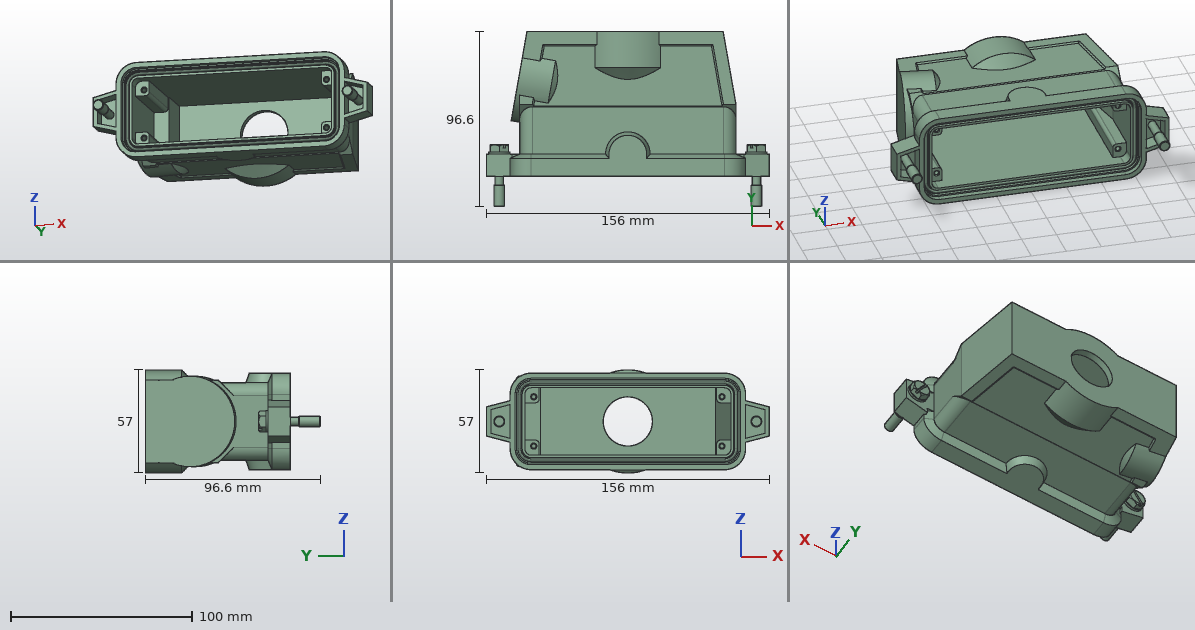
import cadquery as cq
import math


HOOD_TOP = 80.0
DRAFT = 10.0
SLOPE = math.tan(math.radians(DRAFT))

BODY_X = 59.7
BODY_Z = 21.45
BODY_RADIUS = 7.0

HOOD_Z = 22.8
HOOD_LEFT = -55.7
HOOD_RIGHT = 52.6
HOOD_SHOULDER_Y = HOOD_TOP - (BODY_X - HOOD_RIGHT) / SLOPE
HOOD_CORNER_Y = HOOD_TOP - (BODY_X + HOOD_LEFT) / SLOPE
HOOD_BOTTOM_Y = 31.2
HOOD_BOTTOM_Z = HOOD_Z - (HOOD_SHOULDER_Y - HOOD_BOTTOM_Y)

PANEL_Z = 22.0
PANEL_TOP = 71.9
PANEL_TOP_X = 46.1
PANEL_WALL_ANGLE = 50.0

BACK_BOSS_RADIUS = 28.5
BACK_BOSS_END = 60.0
ENTRY_DIAMETER = 27.0

SIDE_BOSS_RADIUS = 25.0
SIDE_BOSS_LENGTH = 18.4
SIDE_BOSS_Y = 55.3

FLANGE_X = 65.0
FLANGE_Z = 26.7
FLANGE_RADIUS = 11.7
FLANGE_EDGE_Y = 10.0
FLANGE_TOP = 12.3

PAD_RADIUS = 10.4
PAD_BASE_RADIUS = 12.3

RIM_WALL = 2.85
RIM_DEPTH = 3.5
GROOVE_OUTER = 3.65
GROOVE_INNER = 6.75
GROOVE_DEPTH = 2.0
BEAD_OUTER = 4.45
BEAD_INNER = 6.1
BEAD_HEIGHT = 1.7
BEAD_ROUND = 0.49 * (BEAD_INNER - BEAD_OUTER)

CAVITY_X = 56.8
CAVITY_Z = 18.6
CAVITY_RADIUS = 3.6
CAVITY_FLOOR_Y = 76.0
CAVITY_FLOOR_X = 48.3
CAVITY_BEND_Y = HOOD_SHOULDER_Y
CAVITY_SHELF_Y = HOOD_CORNER_Y - (HOOD_TOP - CAVITY_FLOOR_Y)

POST_FACE_Y = 11.5
POST_X = 49.0
POST_Z = 10.3
POST_RADIUS = 2.0
POST_HOLE_X = 51.9
POST_HOLE_Z = 13.6
POST_HOLE_DIAMETER = 2.4
POST_HOLE_CHAMFER = 0.5
POST_HOLE_DEPTH = 12.0

EAR_X = 78.0
EAR_TIP_Z = 8.1
EAR_ROOT_Z = 11.5
EAR_WALL_X = 2.4
EAR_WALL_Z = 2.2
EAR_PLATE = 3.0

SCREW_X = 70.9
SHANK_RADIUS = 2.4
SHANK_END_Y = -4.6
THREAD_RADIUS = 3.0
THREAD_END_Y = -16.6
THREAD_CHAMFER = 0.4
WASHER_RADIUS = 5.95
WASHER_HEIGHT = 1.2
HEAD_TOP = 17.6
HEAD_FLATS = 10.2
HEAD_CORNERS = HEAD_FLATS / math.cos(math.radians(30))
HEAD_CHAMFER = 1.0
DRIVE_WIDTH = 1.3
DRIVE_DEPTH = 2.0
DRIVE_ANGLE = 57.0

OVERLAP = 1.0


def facing_back(y):
    """Workplane at height y, extruding toward +Y; local axes are +X and -Z."""
    return cq.Workplane(cq.Plane(origin=(0, y, 0), xDir=(1, 0, 0), normal=(0, 1, 0)))


def rounded_block(half_x, half_z, radius, y_start, y_end):
    block = facing_back(y_start).rect(2 * half_x, 2 * half_z).extrude(y_end - y_start)
    return block.edges("|Y").fillet(radius)


def inset_block(offset, y_start, y_end):
    """Flange outline shrunk by offset, corners staying concentric."""
    return rounded_block(FLANGE_X - offset, FLANGE_Z - offset, FLANGE_RADIUS - offset, y_start, y_end)


def both_broad_sides(shape):
    return shape.union(shape.mirror("XY"))


def both_ends(shape):
    return shape.union(shape.mirror("YZ"))


def make_hood():
    side_outline = [
        (HOOD_LEFT, HOOD_TOP),
        (HOOD_RIGHT, HOOD_TOP),
        (BODY_X, HOOD_SHOULDER_Y),
        (BODY_X, HOOD_BOTTOM_Y),
        (-BODY_X, HOOD_BOTTOM_Y),
        (-BODY_X, HOOD_CORNER_Y),
    ]
    end_outline = [
        (HOOD_TOP, -HOOD_Z),
        (HOOD_TOP, HOOD_Z),
        (HOOD_SHOULDER_Y, HOOD_Z),
        (HOOD_BOTTOM_Y, HOOD_BOTTOM_Z),
        (HOOD_BOTTOM_Y, -HOOD_BOTTOM_Z),
        (HOOD_SHOULDER_Y, -HOOD_Z),
    ]
    hood = cq.Workplane("XY").polyline(side_outline).close().extrude(HOOD_Z, both=True)
    end_limit = cq.Workplane("YZ").polyline(end_outline).close().extrude(2 * BODY_X, both=True)
    return hood.intersect(end_limit).cut(make_panels())


def make_panels():
    bottom_x = PANEL_TOP_X + (PANEL_TOP - HOOD_BOTTOM_Y) * SLOPE
    floor = [
        (-PANEL_TOP_X, PANEL_TOP),
        (PANEL_TOP_X, PANEL_TOP),
        (bottom_x, HOOD_BOTTOM_Y),
        (-bottom_x, HOOD_BOTTOM_Y),
    ]
    panel = cq.Workplane("XY", origin=(0, 0, PANEL_Z)).polyline(floor).close()
    return both_broad_sides(panel.extrude(HOOD_Z - PANEL_Z, taper=-PANEL_WALL_ANGLE))


def make_boss(radius, length):
    """Cylinder along +Y from the origin, ending in a 45 degree cone."""
    profile = [(0, 0), (radius, 0), (radius, length), (0, length + radius)]
    return cq.Workplane("XY").polyline(profile).close().revolve(360, (0, 0, 0), (0, 1, 0))


def make_back_boss():
    boss = make_boss(BACK_BOSS_RADIUS, HOOD_TOP - BACK_BOSS_END)
    return boss.rotate((0, 0, 0), (0, 0, 1), 180).translate((0, HOOD_TOP, 0))


def make_side_boss():
    face_x = HOOD_LEFT - (HOOD_TOP - SIDE_BOSS_Y) * SLOPE
    boss = make_boss(SIDE_BOSS_RADIUS, SIDE_BOSS_LENGTH)
    return boss.rotate((0, 0, 0), (0, 0, 1), -90 - DRAFT).translate((face_x, SIDE_BOSS_Y, 0))


def make_flange():
    edge = inset_block(0, 0, FLANGE_EDGE_Y)
    rise = FLANGE_TOP - FLANGE_EDGE_Y
    slope_angle = math.degrees(math.atan2(FLANGE_X - BODY_X, rise))
    slope = edge.faces(">Y").wires().toPending().workplane().extrude(rise, taper=slope_angle, combine=False)
    return edge.union(slope)


def make_pads():
    cone = (
        cq.Workplane("XY", origin=(0, FLANGE_TOP, BODY_Z)).circle(PAD_BASE_RADIUS)
        .workplane(offset=FLANGE_Z - BODY_Z).circle(PAD_RADIUS).loft()
    )
    thickness = FLANGE_Z - BODY_Z
    limit_size = 2 * PAD_BASE_RADIUS
    limit = cq.Workplane("XY").box(limit_size, limit_size, thickness, centered=(True, False, False))
    foot = cq.Workplane("XY").box(2 * PAD_RADIUS, FLANGE_TOP, thickness, centered=(True, False, False))
    pad = cone.intersect(limit.translate((0, FLANGE_EDGE_Y, BODY_Z)))
    return both_broad_sides(pad.union(foot.translate((0, 0, BODY_Z))))


def make_ears():
    inner_x = FLANGE_X - OVERLAP
    flare = (EAR_ROOT_Z - EAR_TIP_Z) / (EAR_X - FLANGE_X)
    inner_z = EAR_ROOT_Z + flare * OVERLAP
    ear_outline = [(inner_x, inner_z), (EAR_X, EAR_TIP_Z), (EAR_X, -EAR_TIP_Z), (inner_x, -inner_z)]
    ear = facing_back(0).polyline(ear_outline).close().extrude(FLANGE_TOP)

    neck_x = EAR_X - BODY_X
    neck = cq.Workplane("XY").box(neck_x, FLANGE_TOP - FLANGE_EDGE_Y, 2 * EAR_TIP_Z, centered=False)
    neck = neck.translate((BODY_X, FLANGE_EDGE_Y, -EAR_TIP_Z))

    pocket_x = EAR_X - EAR_WALL_X
    tip_z = EAR_TIP_Z + flare * EAR_WALL_X - EAR_WALL_Z
    root_z = EAR_ROOT_Z - EAR_WALL_Z
    pocket_outline = [(FLANGE_X, root_z), (pocket_x, tip_z), (pocket_x, -tip_z), (FLANGE_X, -root_z)]
    pocket = facing_back(0).polyline(pocket_outline).close().extrude(FLANGE_TOP - EAR_PLATE)
    return both_ends(ear.union(neck).cut(pocket))


def make_screws():
    shank = facing_back(SHANK_END_Y).circle(SHANK_RADIUS).extrude(FLANGE_TOP - SHANK_END_Y)
    thread = facing_back(THREAD_END_Y).circle(THREAD_RADIUS).extrude(SHANK_END_Y - THREAD_END_Y)
    thread = thread.edges().chamfer(THREAD_CHAMFER)
    washer = facing_back(FLANGE_TOP).circle(WASHER_RADIUS).extrude(WASHER_HEIGHT)

    head_height = HEAD_TOP - FLANGE_TOP
    head = facing_back(FLANGE_TOP).polygon(6, HEAD_CORNERS).extrude(head_height)
    head = head.rotate((0, 0, 0), (0, 1, 0), 30)
    crown = facing_back(FLANGE_TOP).circle(WASHER_RADIUS).extrude(head_height)
    head = head.intersect(crown.faces(">Y").edges().chamfer(HEAD_CHAMFER))
    drive_slot = cq.Workplane("XY").box(2 * HEAD_CORNERS, 2 * DRIVE_DEPTH, DRIVE_WIDTH)
    drive_slot = drive_slot.rotate((0, 0, 0), (0, 1, 0), DRIVE_ANGLE).translate((0, HEAD_TOP, 0))

    screw = shank.union(thread).union(washer).union(head.cut(drive_slot))
    return both_ends(screw.translate((SCREW_X, 0, 0)))


def make_cavity():
    outline = [
        (-CAVITY_X, 0),
        (CAVITY_X, 0),
        (CAVITY_X, CAVITY_BEND_Y),
        (CAVITY_FLOOR_X, CAVITY_FLOOR_Y),
        (-CAVITY_FLOOR_X, CAVITY_FLOOR_Y),
        (-CAVITY_FLOOR_X, CAVITY_SHELF_Y),
        (-CAVITY_X, CAVITY_SHELF_Y),
    ]
    cavity = cq.Workplane("XY").polyline(outline).close().extrude(CAVITY_Z, both=True)
    mouth = rounded_block(CAVITY_X, CAVITY_Z, CAVITY_RADIUS, 0, CAVITY_FLOOR_Y)
    return cavity.intersect(mouth).cut(make_posts())


def make_posts():
    size_x = CAVITY_X - POST_X + OVERLAP
    size_z = CAVITY_Z - POST_Z + OVERLAP
    post = cq.Workplane("XY").box(size_x, CAVITY_FLOOR_Y - POST_FACE_Y, size_z, centered=False)
    post = post.edges("|Y and <X and <Z").fillet(POST_RADIUS).translate((POST_X, POST_FACE_Y, POST_Z))
    hole_radius = POST_HOLE_DIAMETER / 2
    hole = facing_back(POST_FACE_Y).circle(hole_radius).extrude(POST_HOLE_DEPTH)
    countersink = (
        facing_back(POST_FACE_Y).circle(hole_radius + POST_HOLE_CHAMFER)
        .workplane(offset=POST_HOLE_CHAMFER).circle(hole_radius).loft()
    )
    post = post.cut(hole.union(countersink).translate((POST_HOLE_X, 0, POST_HOLE_Z)))
    return both_ends(both_broad_sides(post))


def make_rim_cut():
    groove_floor = RIM_DEPTH + GROOVE_DEPTH
    step = inset_block(RIM_WALL, 0, RIM_DEPTH)
    groove = inset_block(GROOVE_OUTER, RIM_DEPTH, groove_floor)
    lip = inset_block(GROOVE_INNER, RIM_DEPTH, groove_floor)

    bead_top = groove_floor - BEAD_HEIGHT
    bead = inset_block(BEAD_OUTER, bead_top, groove_floor)
    bead = bead.cut(inset_block(BEAD_INNER, bead_top, groove_floor))
    bead = bead.faces("<Y").edges().fillet(BEAD_ROUND)
    return step.union(groove.cut(lip).cut(bead))


body = rounded_block(BODY_X, BODY_Z, BODY_RADIUS, FLANGE_EDGE_Y, HOOD_SHOULDER_Y)
shell = make_hood().union(body).union(make_flange()).union(make_pads())
shell = shell.union(make_back_boss()).union(make_side_boss())
shell = shell.cut(make_cavity()).cut(make_rim_cut())

cable_entry = facing_back(CAVITY_FLOOR_Y).circle(ENTRY_DIAMETER / 2).extrude(HOOD_TOP - CAVITY_FLOOR_Y)
result = shell.cut(cable_entry).union(make_ears()).union(make_screws())